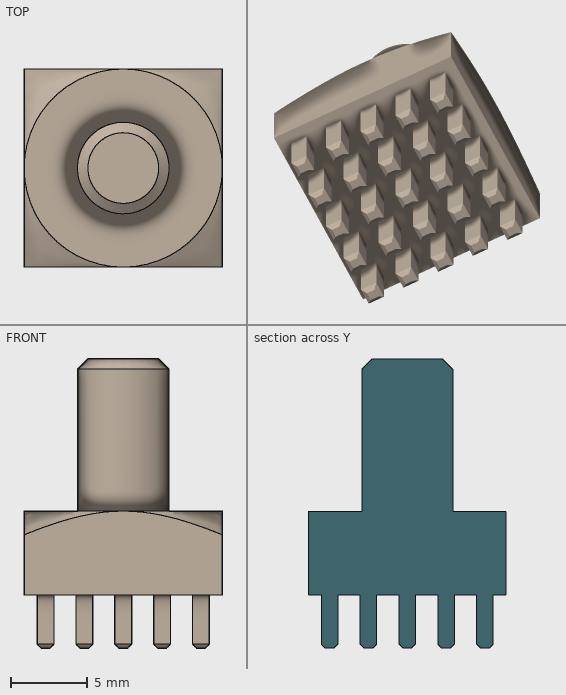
import cadquery as cq
import math

total_height = 19.0
base_width = 13.0
pin_length = 3.5
stud_diameter = 6.0
stud_length = 10.0
stud_chamfer = 0.68
bevel_angle = 30.0
pins_per_side = 5
pin_pitch = 2.55
pin_width = 1.12
pin_tip_chamfer = 0.28

base_height = total_height - stud_length - pin_length


def make_base():
    """Square block standing on Z = 0, its upper corners turned down by a shallow cone."""
    block = cq.Workplane("XY").rect(base_width, base_width).extrude(base_height)
    flat_radius = base_width / 2
    cone_radius = flat_radius + base_height / math.tan(math.radians(bevel_angle))
    cone = (
        cq.Workplane("XZ")
        .polyline([(0, 0), (cone_radius, 0), (flat_radius, base_height), (0, base_height)])
        .close()
        .revolve(360, (0, 0, 0), (0, 1, 0))
    )
    return block.intersect(cone)


def make_stud():
    """Round stud on top of the base with a chamfered end."""
    stud = cq.Workplane("XY", origin=(0, 0, base_height)).circle(stud_diameter / 2).extrude(stud_length)
    return stud.faces(">Z").chamfer(stud_chamfer)


def make_pins():
    """Square grid of pins under the base, each with a tapered tip."""
    pins = (
        cq.Workplane("XY")
        .rarray(pin_pitch, pin_pitch, pins_per_side, pins_per_side)
        .rect(pin_width, pin_width)
        .extrude(-pin_length)
    )
    return pins.faces("<Z").chamfer(pin_tip_chamfer)


result = make_base().union(make_stud()).union(make_pins())